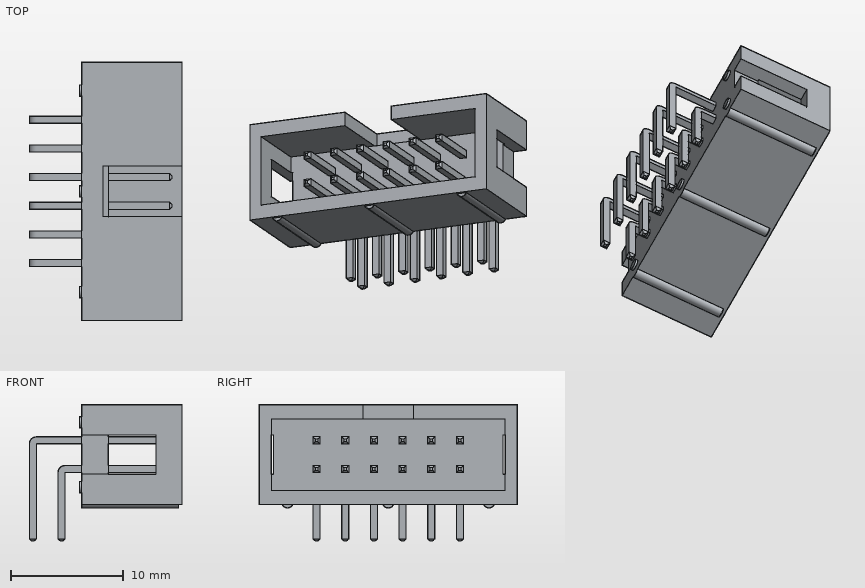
import cadquery as cq


body_depth = 8.9
body_width = 22.9
body_height = 8.86
base_thickness = 2.35
end_wall = 1.1
long_wall = 1.25
mid_height = body_height / 2

window_depth = 1.25
window_length = 6.57
window_height = 3.45

key_width = 4.49
key_start = 1.88

standoff_diameter = 1.0
standoff_spacing = 8.93
stud_height = 0.2
stud_edge_distance = 1.55
rib_drop = 0.3
rib_length = 8.59

pin_pitch = 2.55
pin_count = 6
pin_size = 0.65
pin_tip_chamfer = 0.2
pin_front = 8.0
pin_rear = -4.65
leg_end = -3.23

standoff_positions = [-standoff_spacing, 0, standoff_spacing]


def block(x_start, x_end, width, z_start, z_end):
    """Box centred on Y = 0."""
    return (
        cq.Workplane("XY")
        .box(x_end - x_start, width, z_end - z_start, centered=(False, True, False))
        .translate((x_start, 0, z_start))
    )


def make_housing():
    housing = block(0, body_depth, body_width, 0, body_height)
    ceiling = body_height - long_wall
    cavity = block(base_thickness, body_depth, body_width - 2 * end_wall, long_wall, ceiling)
    key_slot = block(key_start, body_depth, key_width, ceiling, body_height)
    housing = housing.cut(cavity).cut(key_slot)

    window_bottom = mid_height - window_height / 2
    window = block(0, window_length, 2 * window_depth, window_bottom, window_bottom + window_height)
    for end in (-1, 1):
        housing = housing.cut(window.translate((0, end * body_width / 2, 0)))
    return housing


def standoff_bar(y, z, x_start, x_end):
    """Round bar along X."""
    return (
        cq.Workplane("YZ", origin=(x_start, y, z))
        .circle(standoff_diameter / 2)
        .extrude(x_end - x_start)
    )


def add_standoffs(housing):
    """Six studs on the rear face and three rounded ribs under the housing."""
    rib_axis = standoff_diameter / 2 - rib_drop
    for y in standoff_positions:
        for z in (stud_edge_distance, body_height - stud_edge_distance):
            housing = housing.union(standoff_bar(y, z, -stud_height, 0))
        housing = housing.union(standoff_bar(y, rib_axis, 0, rib_length))
    return housing


def make_pin(rear, top):
    """L-shaped square pin at Y = 0 with a rounded outer elbow and tapered tips."""
    pin = (
        cq.Workplane("XZ")
        .moveTo(pin_front, top)
        .lineTo(rear + pin_size, top)
        .radiusArc((rear, top - pin_size), -pin_size)
        .lineTo(rear, leg_end)
        .lineTo(rear + pin_size, leg_end)
        .lineTo(rear + pin_size, top - pin_size)
        .lineTo(pin_front, top - pin_size)
        .close()
        .extrude(pin_size / 2, both=True)
    )
    for tip_face in (">X", "<Z"):
        pin = pin.faces(tip_face).chamfer(pin_tip_chamfer)
    return pin


def add_pins(housing):
    """Two rows of pins; the lower row has the shorter reach to the rear."""
    upper_top = mid_height + (pin_pitch + pin_size) / 2
    for row in range(2):
        pin = make_pin(pin_rear + row * pin_pitch, upper_top - row * pin_pitch)
        for column in range(pin_count):
            y = (column - (pin_count - 1) / 2) * pin_pitch
            housing = housing.union(pin.translate((0, y, 0)))
    return housing


result = add_pins(add_standoffs(make_housing()))